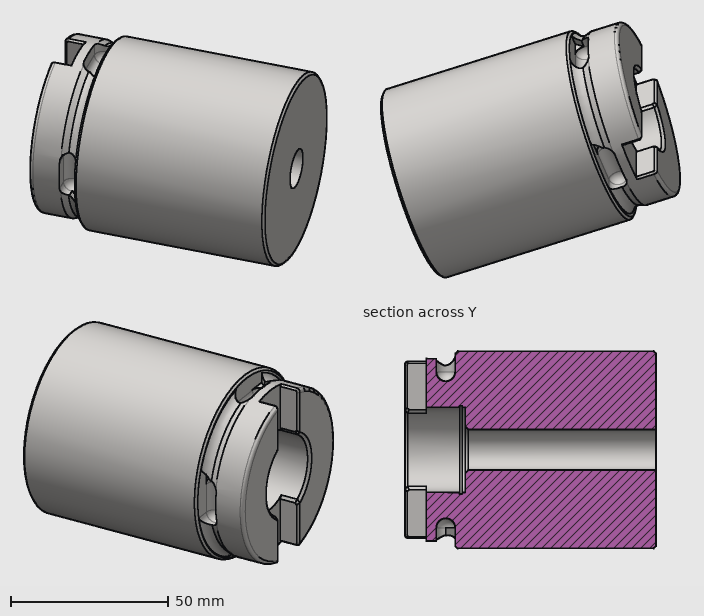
import cadquery as cq

total_length = 80.05
body_diameter = 63.0
body_radius = body_diameter / 2
body_start = 16.0
body_edge_chamfer = 0.8

neck_offset = 0.5
neck_radius = 29.05
neck_edge_fillet = 1.2

ring_start = 10.4
ring_low_x = 12.65
ring_radius = 28.25
ring_end_radius = 30.1
ring_arc_radius = 4.0

bore_radius = 13.5
bore_chamfer = 1.0
bore_depth = 19.2
relief_start = 17.45
relief_width = 0.8
relief_depth = 0.5
hole_radius = 6.4
hole_chamfer = 1.05

slot_width = 12.6
slot_depth = 6.8
slot_chamfer = 0.76

pocket_count = 4
pocket_radius = 3.0
pocket_x = body_start - pocket_radius
pocket_axis_radius = 24.8
pocket_end_ahead = 5.8
pocket_end_behind = 4.3
pocket_tail = 10.4


def revolve_about_x(outline):
    return outline.close().revolve(360, (0, 0, 0), (1, 0, 0))


def make_body():
    return (
        cq.Workplane("YZ", origin=(body_start, 0, 0))
        .circle(body_radius)
        .extrude(total_length - body_start)
        .edges()
        .chamfer(body_edge_chamfer)
    )


def make_neck():
    neck_end = body_start + body_edge_chamfer
    outline = (
        cq.Workplane("XY")
        .lineTo(0, neck_radius - neck_edge_fillet)
        .tangentArcPoint((neck_edge_fillet, neck_radius), relative=False)
        .lineTo(ring_start, neck_radius)
        .lineTo(ring_low_x, ring_radius)
        .radiusArc((body_start, ring_end_radius), -ring_arc_radius)
        .lineTo(neck_end, ring_end_radius)
        .lineTo(neck_end, 0)
    )
    return revolve_about_x(outline)


def make_bore():
    relief_end = relief_start + relief_width
    outline = (
        cq.Workplane("XY")
        .lineTo(0, bore_radius + bore_chamfer)
        .lineTo(bore_chamfer, bore_radius)
        .lineTo(relief_start, bore_radius)
        .lineTo(relief_start, bore_radius + relief_depth)
        .lineTo(relief_end, bore_radius + relief_depth)
        .lineTo(relief_end, bore_radius)
        .lineTo(bore_depth, bore_radius)
        .lineTo(bore_depth, hole_radius + hole_chamfer)
        .lineTo(bore_depth + hole_chamfer, hole_radius)
        .lineTo(total_length, hole_radius)
        .lineTo(total_length, 0)
    )
    return revolve_about_x(outline)


def make_slot():
    return cq.Workplane("XY").box(2 * slot_depth, slot_width, 2 * body_radius)


def chamfer_slot_walls(part):
    """Chamfer every edge of the slot walls except those at the slot floor."""
    margin = 0.1
    half_width = slot_width / 2 + margin
    slot_space = cq.selectors.BoxSelector(
        (0, -half_width, -body_radius),
        (slot_depth, half_width, body_radius),
    )
    wall_edges = part.faces(slot_space).faces("|Y").edges()
    open_edges = wall_edges.filter(lambda edge: edge.Center().x < slot_depth - margin)
    return open_edges.chamfer(slot_chamfer)


def make_pocket():
    """Ball-ended milled pocket on the -Y side, running along Z, with a tail at its -Z end."""
    run = pocket_end_ahead + pocket_end_behind
    run_middle = (pocket_end_ahead - pocket_end_behind) / 2
    height = body_radius - pocket_axis_radius
    walls = (
        cq.Workplane("XZ", origin=(pocket_x, -pocket_axis_radius, run_middle))
        .slot2D(run + 2 * pocket_radius, 2 * pocket_radius, 90)
        .extrude(height)
    )
    floor = (
        cq.Workplane("XY", origin=(pocket_x, -pocket_axis_radius, -pocket_end_behind))
        .circle(pocket_radius)
        .extrude(run)
    )
    tail = (
        cq.Workplane("XZ", origin=(0, -pocket_axis_radius, 0))
        .moveTo(body_start, -pocket_end_behind)
        .lineTo(pocket_x, -pocket_end_behind - pocket_radius)
        .lineTo(body_start, -pocket_tail)
        .close()
        .extrude(height)
    )
    pocket = walls.union(floor).union(tail)
    for end in (-pocket_end_behind, pocket_end_ahead):
        ball = cq.Workplane("XY").sphere(pocket_radius)
        pocket = pocket.union(ball.translate((pocket_x, -pocket_axis_radius, end)))
    return pocket


neck = chamfer_slot_walls(make_neck().cut(make_slot()).cut(make_bore()))
for index in range(pocket_count):
    angle = index * 360 / pocket_count
    neck = neck.cut(make_pocket().rotate((0, 0, 0), (1, 0, 0), angle))

offset = (0, neck_offset, 0)
body = make_body().cut(make_bore().translate(offset))
result = body.union(neck.translate(offset))